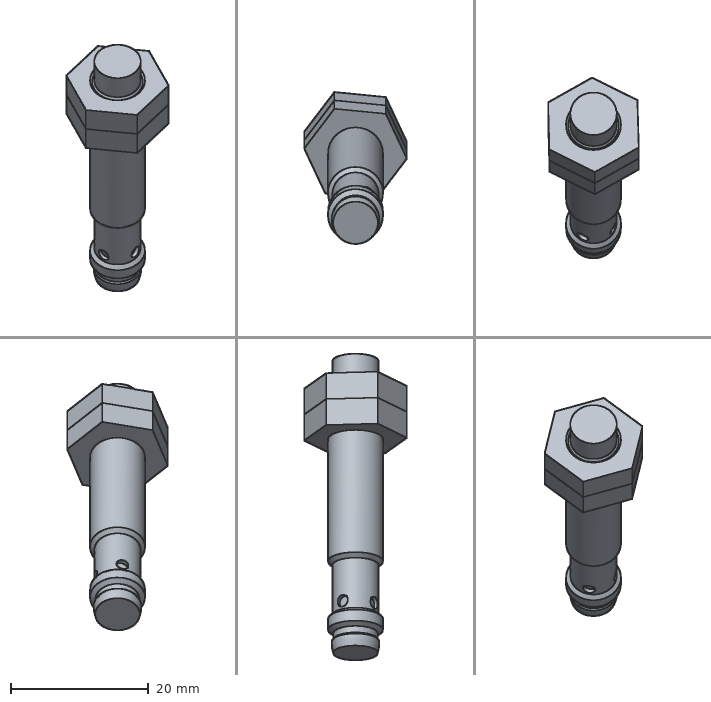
import cadquery as cq
import math

TOTAL_LENGTH = 45.0
NOSE_LENGTH = 4.0
NUT_HEIGHT = 4.0
NUT_COUNT = 2
NUT_WIDTH = 13.0
NUT_BORE_RADIUS = 6.9 / 2
BARREL_LENGTH = 27.5

BARREL_RADIUS = 8.0 / 2
BODY_RADIUS = 6.75 / 2
NECK_RADIUS = 6.5 / 2
LIP_RADIUS = 6.95 / 2

LIP_BOTTOM = 1.35
LIP_TOP = 1.75
LIP_CONE_TOP = 2.02
COLLAR_BOTTOM = 3.0
COLLAR_TOP = 5.8
COLLAR_CHAMFER = 0.55
BARREL_CHAMFER = BARREL_RADIUS - BODY_RADIUS

WINDOW_DIAMETER = 1.8
WINDOW_HEIGHT = 7.05
WINDOW_DEPTH = 0.68
WINDOW_COUNT = 4

BARREL_TOP = TOTAL_LENGTH - NOSE_LENGTH
BARREL_BOTTOM = BARREL_TOP - BARREL_LENGTH
NUTS_BOTTOM = BARREL_TOP - NUT_COUNT * NUT_HEIGHT


def make_turned_blank():
    """Revolve the half profile."""
    tip_arc_radius = (LIP_BOTTOM**2 + (LIP_RADIUS - NECK_RADIUS) ** 2) / (2 * (LIP_RADIUS - NECK_RADIUS))
    arc_mid_height = LIP_BOTTOM / 2
    arc_mid_drop = tip_arc_radius - math.sqrt(tip_arc_radius**2 - (LIP_BOTTOM - arc_mid_height) ** 2)
    return (
        cq.Workplane("XZ")
        .moveTo(0, 0)
        .lineTo(NECK_RADIUS, 0)
        .threePointArc((LIP_RADIUS - arc_mid_drop, arc_mid_height), (LIP_RADIUS, LIP_BOTTOM))
        .lineTo(LIP_RADIUS, LIP_TOP)
        .lineTo(NECK_RADIUS, LIP_CONE_TOP)
        .lineTo(NECK_RADIUS, COLLAR_BOTTOM)
        .lineTo(BARREL_RADIUS, COLLAR_BOTTOM + COLLAR_CHAMFER)
        .lineTo(BARREL_RADIUS, COLLAR_TOP - COLLAR_CHAMFER)
        .lineTo(BODY_RADIUS, COLLAR_TOP)
        .lineTo(BODY_RADIUS, BARREL_BOTTOM)
        .lineTo(BARREL_RADIUS, BARREL_BOTTOM + BARREL_CHAMFER)
        .lineTo(BARREL_RADIUS, BARREL_TOP - BARREL_CHAMFER)
        .lineTo(BODY_RADIUS, BARREL_TOP)
        .lineTo(BODY_RADIUS, TOTAL_LENGTH)
        .lineTo(0, TOTAL_LENGTH)
        .close()
        .revolve(360, (0, 0, 0), (0, 1, 0))
    )


def make_window_cutter(angle):
    """Radial cylinder from the window floor out to the barrel radius."""
    floor_radius = BODY_RADIUS - WINDOW_DEPTH
    return (
        cq.Workplane("YZ", origin=(floor_radius, 0, WINDOW_HEIGHT))
        .circle(WINDOW_DIAMETER / 2)
        .extrude(BARREL_RADIUS - floor_radius)
        .rotate((0, 0, 0), (0, 0, 1), angle)
    )


def make_housing():
    """Sensor housing: turned blank with blind round windows."""
    housing = make_turned_blank()
    for index in range(WINDOW_COUNT):
        housing = housing.cut(make_window_cutter(index * 360 / WINDOW_COUNT))
    return housing


def make_nut(bottom, housing):
    """Hexagonal nut with a countersunk bore, fitted closely around the housing.

    The top nut keeps a lip between its countersink and the barrel chamfer.
    """
    corner_diameter = NUT_WIDTH / math.cos(math.pi / 6)
    countersink_depth = BARREL_RADIUS - NUT_BORE_RADIUS
    hexagon = (
        cq.Workplane("XY")
        .polygon(6, corner_diameter)
        .extrude(NUT_HEIGHT)
        .rotate((0, 0, 0), (0, 0, 1), 30)
    )
    bore = (
        cq.Workplane("XZ")
        .moveTo(0, 0)
        .lineTo(BARREL_RADIUS, 0)
        .lineTo(NUT_BORE_RADIUS, countersink_depth)
        .lineTo(NUT_BORE_RADIUS, NUT_HEIGHT - countersink_depth)
        .lineTo(BARREL_RADIUS, NUT_HEIGHT)
        .lineTo(0, NUT_HEIGHT)
        .close()
        .revolve(360, (0, 0, 0), (0, 1, 0))
    )
    return hexagon.cut(bore).translate((0, 0, bottom)).cut(housing)


housing = make_housing()
nuts = [make_nut(NUTS_BOTTOM + index * NUT_HEIGHT, housing) for index in range(NUT_COUNT)]

result = cq.Compound.makeCompound([housing.val(), *[nut.val() for nut in nuts]])